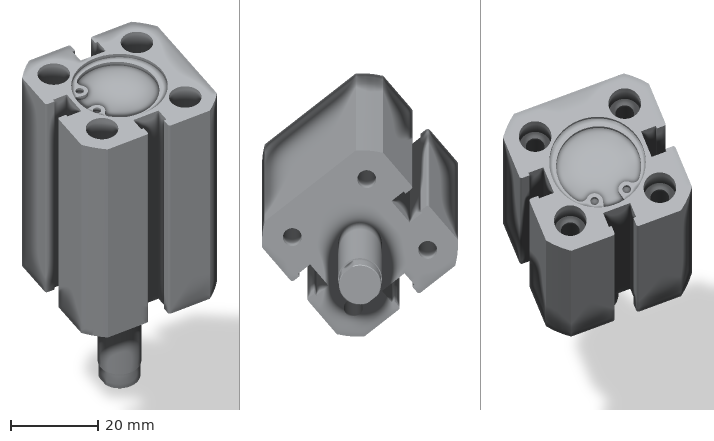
import cadquery as cq
import math


body_width = 36.0
total_length = 88.0
body_length = 57.2
corner_radius = 22.5

slot_mouth_width = 5.4
slot_inner_width = 6.7
slot_lip = 2.3
slot_floor = 12.1
slot_mouth_fillet = 0.5

mount_spacing = 22.1
mount_hole_diameter = 4.3
counterbore_diameter = 7.5
counterbore_depth = 7.0

bore_radius = 11.1
ring_recess = 1.0
ring_thickness = 1.1
cap_thickness = 7.0
ring_top = -ring_recess
cap_top = ring_top - ring_thickness
cap_bottom = cap_top - cap_thickness

ring_opening_radius = 9.8
ring_opening_shift = 0.7
lug_x = 4.0
lug_y = -8.3
lug_hole_diameter = 1.9
lug_root_radius = 1.6
gap_half_angle = math.radians(13.6)

rod_radius = 5.0
tip_radius = 4.8
tip_length = 4.5
flat_length = 4.2
tip_chamfer = 0.2
flat_offset = 4.5


def make_slot(angle):
    """T-slot cutter for the side of the housing that lies at the given angle from +X."""
    half_width = body_width / 2
    mouth = cq.Workplane("XY").box(
        half_width - slot_floor, slot_mouth_width, body_length, centered=(False, True, False)
    )
    chamber = cq.Workplane("XY").box(
        half_width - slot_lip - slot_floor, slot_inner_width, body_length, centered=(False, True, False)
    )
    slot = mouth.union(chamber).translate((slot_floor, 0, -body_length))
    return slot.rotate((0, 0, 0), (0, 0, 1), angle)


def round_slot_mouths(block):
    """Round the outer corners of the three slot mouths."""
    half_width = body_width / 2
    half_mouth = slot_mouth_width / 2
    middle = -body_length / 2
    for side in (-1, 1):
        corners = [
            (-half_width, side * half_mouth, middle),
            (half_width, side * half_mouth, middle),
            (side * half_mouth, -half_width, middle),
        ]
        for corner in corners:
            edge = block.edges(cq.selectors.NearestToPointSelector(corner))
            block = edge.fillet(slot_mouth_fillet)
    return block


def make_housing():
    """Square profile with rounded corners, slots, mounting holes, cap bore and rod hole."""
    block = cq.Workplane("XY").rect(body_width, body_width).extrude(-body_length)
    block = block.intersect(cq.Workplane("XY").circle(corner_radius).extrude(-body_length))
    for angle in (0, 180, 270):
        block = block.cut(make_slot(angle))
    block = round_slot_mouths(block)
    block = (
        block.faces(">Z").workplane(origin=(0, 0, 0))
        .rect(mount_spacing, mount_spacing, forConstruction=True).vertices()
        .cboreHole(mount_hole_diameter, counterbore_diameter, counterbore_depth)
    )
    block = block.cut(cq.Workplane("XY").circle(bore_radius).extrude(cap_bottom))
    return block.cut(cq.Workplane("XY").circle(rod_radius).extrude(-body_length))


def make_end_cap():
    """Plain disc that closes the bore below the retaining ring."""
    return cq.Workplane("XY").workplane(offset=cap_bottom).circle(bore_radius).extrude(cap_thickness)


def toward(center, target, distance):
    """Point at a distance from center along the line from center to target."""
    reach = math.dist(center, target)
    return tuple(c + (t - c) * distance / reach for c, t in zip(center, target))


def mirrored(point):
    """The point's mirror image across the YZ plane."""
    return (-point[0], point[1])


def make_retaining_ring():
    """Open eccentric ring with two drilled lugs beside its gap."""
    opening_center = (0, -ring_opening_shift)
    lug_center = (lug_x, lug_y)

    lug_reach = math.hypot(lug_x, lug_y)
    lug_angle = math.atan2(lug_x, -lug_y)
    lug_radius = lug_reach * math.sin(lug_angle - gap_half_angle)
    gap_reach = lug_reach * math.cos(lug_angle - gap_half_angle)
    gap_direction = (math.sin(gap_half_angle), -math.cos(gap_half_angle))
    gap_outer = tuple(bore_radius * d for d in gap_direction)
    gap_inner = tuple(gap_reach * d for d in gap_direction)

    to_opening = ring_opening_radius - lug_root_radius
    to_lug = lug_radius + lug_root_radius
    span = math.dist(opening_center, lug_center)
    along = (to_opening**2 - to_lug**2 + span**2) / (2 * span)
    across = math.sqrt(to_opening**2 - along**2)
    unit_x = (lug_center[0] - opening_center[0]) / span
    unit_y = (lug_center[1] - opening_center[1]) / span
    root_center = (
        opening_center[0] + along * unit_x - across * unit_y,
        opening_center[1] + along * unit_y + across * unit_x,
    )
    root_start = toward(lug_center, root_center, lug_radius)
    root_end = toward(opening_center, root_center, ring_opening_radius)

    lug_top = toward(lug_center, (0, 0), lug_radius)
    root_chord_middle = tuple((a + b) / 2 for a, b in zip(root_start, root_end))
    root_middle = toward(root_center, root_chord_middle, lug_root_radius)
    opening_top = (0, ring_opening_radius - ring_opening_shift)

    ring = (
        cq.Workplane("XY").workplane(offset=cap_top)
        .moveTo(*gap_outer)
        .lineTo(*gap_inner)
        .threePointArc(lug_top, root_start)
        .threePointArc(root_middle, root_end)
        .threePointArc(opening_top, mirrored(root_end))
        .threePointArc(mirrored(root_middle), mirrored(root_start))
        .threePointArc(mirrored(lug_top), mirrored(gap_inner))
        .lineTo(*mirrored(gap_outer))
        .threePointArc((0, bore_radius), gap_outer)
        .close()
        .extrude(ring_thickness)
    )
    lug_holes = (
        cq.Workplane("XY").workplane(offset=cap_top)
        .pushPoints([lug_center, mirrored(lug_center)])
        .circle(lug_hole_diameter / 2)
        .extrude(ring_thickness)
    )
    return ring.cut(lug_holes)


def make_rod():
    """Round rod from the end cap down to a reduced tip with two flats facing -Y and +Y."""
    shaft_bottom = tip_length - total_length
    shaft = cq.Workplane("XY").workplane(offset=shaft_bottom).circle(rod_radius)
    shaft = shaft.extrude(cap_bottom - shaft_bottom)
    tip_end = cq.Workplane("XY").workplane(offset=-total_length)
    tip = tip_end.circle(tip_radius).extrude(tip_length).faces("<Z").chamfer(tip_chamfer)
    for side in (-1, 1):
        beyond_flat = tip_end.center(0, side * (flat_offset + rod_radius / 2))
        tip = tip.cut(beyond_flat.rect(2 * rod_radius, rod_radius).extrude(flat_length))
    return shaft.union(tip)


housing = make_housing()
end_cap = make_end_cap()
retaining_ring = make_retaining_ring()
rod = make_rod()

result = cq.Compound.makeCompound([housing.val(), end_cap.val(), retaining_ring.val(), rod.val()])